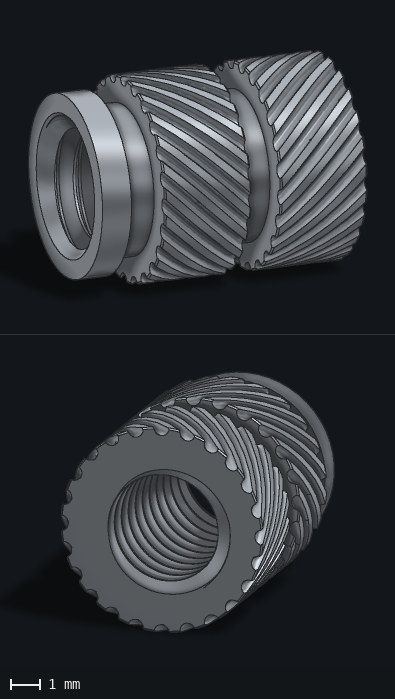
import cadquery as cq
import math


TOTAL_LENGTH = 9.53
AXIAL_STEP = TOTAL_LENGTH / 9
FLANGE_LENGTH = AXIAL_STEP
BAND_LENGTH = 3 * AXIAL_STEP
FRONT_BAND_START = 2 * AXIAL_STEP
BANDS_MIDDLE = 5.5 * AXIAL_STEP

BAND_RADIUS = 7.11 / 2
FLANGE_RADIUS = 3.16
NECK_RADIUS = 2.61
BAND_CHAMFER = 0.06

GROOVE_COUNT = 24
GROOVE_PITCH_ANGLE = 360 / GROOVE_COUNT
GROOVE_TWIST = 48
GROOVE_HALF_WIDTH = 0.27
GROOVE_DEPTH = 0.28

BORE_RADIUS = 1.89
COUNTERSINK_RADIUS = 2.5
THREAD_PITCH = 0.8
THREAD_FLAT = THREAD_PITCH / 8
FLANK_RUN = THREAD_PITCH / 2 - THREAD_FLAT
FLANK_SLOPE = math.tan(math.radians(60))
THREAD_ROOT_RADIUS = BORE_RADIUS + FLANK_RUN * FLANK_SLOPE
THREAD_START_ANGLE = 202.5

SLEEVE_RADIUS = THREAD_ROOT_RADIUS + 0.1

OVERCUT = 0.03


def disc(radius, start, length):
    return cq.Workplane("XY").workplane(offset=start).circle(radius).extrude(length)


def knurled_band():
    """Chamfered ring around the neck with round-bottomed grooves that twist along it."""
    band = disc(BAND_RADIUS, 0, BAND_LENGTH).edges().chamfer(BAND_CHAMFER)
    groove = (
        cq.Workplane("XY")
        .moveTo(BAND_RADIUS + OVERCUT, -GROOVE_HALF_WIDTH)
        .lineTo(BAND_RADIUS, -GROOVE_HALF_WIDTH)
        .threePointArc((BAND_RADIUS - GROOVE_DEPTH, 0), (BAND_RADIUS, GROOVE_HALF_WIDTH))
        .lineTo(BAND_RADIUS + OVERCUT, GROOVE_HALF_WIDTH)
        .close()
        .twistExtrude(BAND_LENGTH, GROOVE_TWIST)
        .val()
    )
    grooves = [
        groove.rotate((0, 0, 0), (0, 0, 1), index * GROOVE_PITCH_ANGLE)
        for index in range(GROOVE_COUNT)
    ]
    band = band.cut(cq.Workplane(cq.Compound.makeCompound(grooves)))
    return band.cut(disc(NECK_RADIUS, 0, BAND_LENGTH))


def thread_cutter():
    """Helical ridge that starts a pitch below the bore and ends a pitch above it."""
    helix = cq.Wire.makeHelix(THREAD_PITCH, TOTAL_LENGTH + 2 * THREAD_PITCH, BORE_RADIUS)
    base_radius = BORE_RADIUS - OVERCUT
    root_half_width = THREAD_FLAT / 2
    base_half_width = root_half_width + (THREAD_ROOT_RADIUS - base_radius) / FLANK_SLOPE
    return (
        cq.Workplane("XZ")
        .moveTo(base_radius, -base_half_width)
        .lineTo(THREAD_ROOT_RADIUS, -root_half_width)
        .lineTo(THREAD_ROOT_RADIUS, root_half_width)
        .lineTo(base_radius, base_half_width)
        .close()
        .sweep(cq.Workplane(helix), isFrenet=True)
        .translate((0, 0, -THREAD_PITCH))
        .rotate((0, 0, 0), (0, 0, 1), 180)
    )


def countersink():
    """45 degree lead-in at the flange face."""
    return cq.Workplane(cq.Solid.makeCone(COUNTERSINK_RADIUS, 0, COUNTERSINK_RADIUS))


sleeve_blank = disc(SLEEVE_RADIUS, 0, TOTAL_LENGTH)
sleeve = (
    sleeve_blank.cut(disc(BORE_RADIUS, 0, TOTAL_LENGTH))
    .cut(thread_cutter())
    .cut(countersink())
    .rotate((0, 0, 0), (0, 0, 1), THREAD_START_ANGLE - 180)
)

front_band = knurled_band().translate((0, 0, FRONT_BAND_START))
rear_band = front_band.mirror("XY", (0, 0, BANDS_MIDDLE))

shell = (
    disc(NECK_RADIUS, 0, TOTAL_LENGTH)
    .union(disc(FLANGE_RADIUS, 0, FLANGE_LENGTH))
    .cut(sleeve_blank)
    .union(front_band)
    .union(rear_band)
)
body = shell.union(sleeve, glue=True)

result = body.rotate((0, 0, 0), (1, 0, 0), -90)